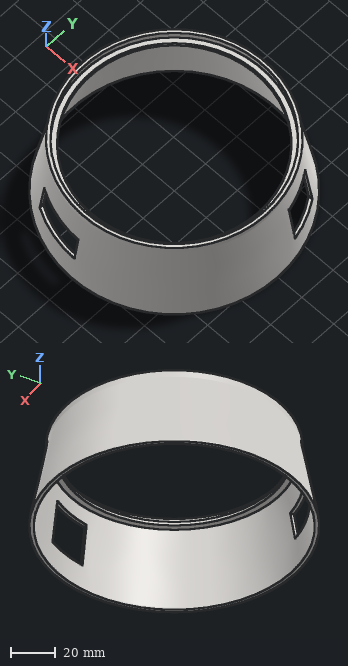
import cadquery as cq

height = 45.0
base_radius = 130.0 / 2
top_radius = 115.0 / 2
base_opening_radius = 126.0 / 2
wall = base_radius - base_opening_radius
foot_height = 1.0
collar_height = 3.9
collar_base = height - collar_height

ledge_radius = 105.0 / 2
ledge_thickness = 2.0
ledge_bottom = collar_base - ledge_thickness

front_window_left = -31.2
front_window_right = -1.4
front_window_bottom = 13.5
front_window_top = 26.6

side_window_near = 15.0
side_window_far = 35.1
side_window_bottom = 11.7
side_window_top = 31.5


def cone_shell():
    """Tapered wall between a short straight foot and a straight collar."""
    outline = [
        (base_opening_radius, 0),
        (base_radius, 0),
        (base_radius, foot_height),
        (top_radius, collar_base),
        (top_radius, height),
        (top_radius - wall, height),
        (top_radius - wall, collar_base),
        (base_opening_radius, foot_height),
    ]
    return cq.Workplane("XZ").polyline(outline).close().revolve(360, (0, 0), (0, 1))


def ledge():
    """Flat inner ring, overlapping the wall so that the two fuse."""
    return (
        cq.Workplane("XY")
        .workplane(offset=ledge_bottom)
        .circle(top_radius - wall / 2)
        .circle(ledge_radius)
        .extrude(ledge_thickness)
    )


def box_between(x_start, x_end, y_start, y_end, z_start, z_end):
    """Block spanning the given limits along each axis."""
    size = (x_end - x_start, y_end - y_start, z_end - z_start)
    return cq.Workplane("XY").box(*size, centered=False).translate((x_start, y_start, z_start))


front_window = box_between(
    front_window_left, front_window_right,
    -base_radius, 0,
    front_window_bottom, front_window_top,
)
side_window = box_between(
    0, base_radius,
    side_window_near, side_window_far,
    side_window_bottom, side_window_top,
)

result = cone_shell().union(ledge()).cut(front_window).cut(side_window)